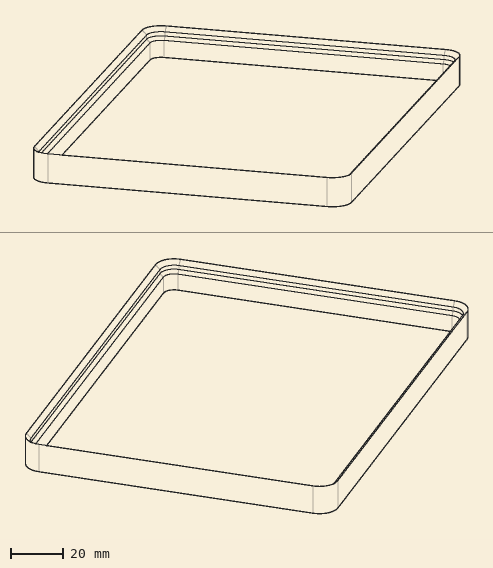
import cadquery as cq

width = 125.5
length = 167.5
height = 11.7
corner_radius = 7.5

upper_slope = 1.8
step_height = 1.7
lower_slope = 1.3

wall = upper_slope + lower_slope
step_top = height - upper_slope
lip_bottom = step_top - step_height - lower_slope


def rounded_block(inset, bottom):
    """Upright block with rounded corners, inset evenly from the outer outline, one frame height tall."""
    return (
        cq.Workplane("XY", origin=(0, 0, bottom))
        .rect(width - 2 * inset, length - 2 * inset)
        .extrude(height)
        .edges("|Z")
        .fillet(corner_radius - inset)
    )


def lip_cutter(inset, bottom, slope):
    """Rounded block with a 45-degree chamfer around its lower rim."""
    return rounded_block(inset, bottom).faces("<Z").chamfer(slope)


frame = rounded_block(0, 0).cut(rounded_block(wall, 0))

frame = frame.cut(lip_cutter(upper_slope, lip_bottom, lower_slope))
result = frame.cut(lip_cutter(0, step_top, upper_slope))